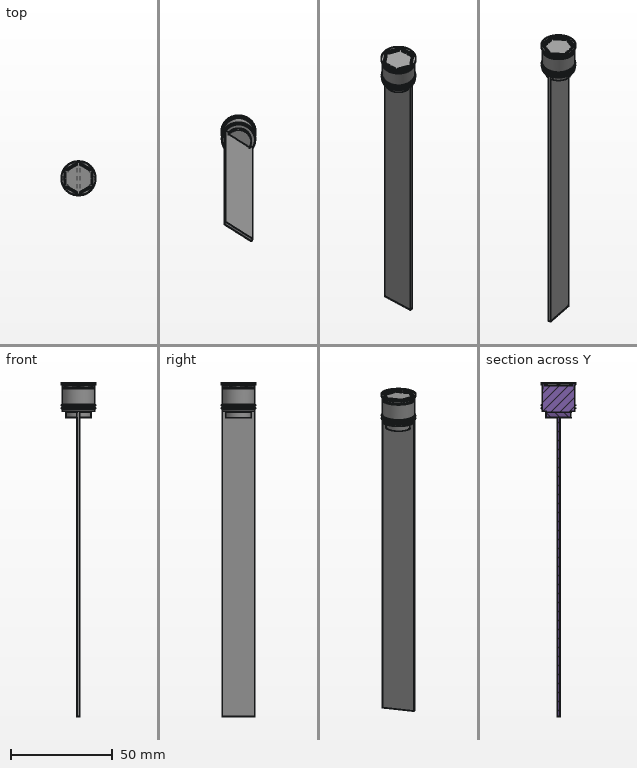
import cadquery as cq
import math

total_height = 164.0
cap_height = 14.0
cap_collar_height = 0.5
spigot_height = 2.6

flange_diameter = 17.0
cap_diameter = 16.0
spigot_diameter = 12.5

rim_thickness = 0.7
flange_cone_height = 0.5

groove_width = 0.7
groove_depth = 0.3
groove_drop = 2.5

bead_height = 1.0
bead_projection = 0.3
bead_drops = [11.0, 12.5]

recess_flats = 14.0
bar_flats = 12.3
recess_depth = 1.3
bar_drop = 0.5
bar_gap = 1.1

strip_width = 16.0
strip_thickness = 1.5

cap_bottom = total_height - cap_height
collar_bottom = cap_bottom - cap_collar_height
spigot_bottom = collar_bottom - spigot_height
recess_floor = total_height - recess_depth
bar_height = recess_depth - bar_drop


def hexagon(flats, bottom, height):
    """Hexagonal prism whose flats include the two that face along X."""
    corner_diameter = flats / math.cos(math.pi / 6)
    prism = cq.Workplane("XY").polygon(6, corner_diameter).extrude(height)
    return prism.rotate((0, 0, 0), (0, 0, 1), 30).translate((0, 0, bottom))


def disc(diameter, bottom, height):
    return cq.Workplane("XY", origin=(0, 0, bottom)).circle(diameter / 2).extrude(height)


def add_point(profile, drop, height, projection):
    """Continue the wall outline through a V that stands out, or cuts in where `projection` is negative."""
    wall = cap_diameter / 2
    middle = total_height - drop
    return (
        profile.lineTo(wall, middle - height / 2)
        .lineTo(wall + projection, middle)
        .lineTo(wall, middle + height / 2)
    )


def revolved_cap():
    """Outer shape of the cap: collar, wall with beads and groove, and flange."""
    wall = cap_diameter / 2
    rim = flange_diameter / 2
    collar = spigot_diameter / 2
    rim_bottom = total_height - rim_thickness
    profile = (
        cq.Workplane("XZ")
        .moveTo(0, collar_bottom)
        .lineTo(collar, collar_bottom)
        .lineTo(collar, cap_bottom)
        .lineTo(wall, cap_bottom)
    )
    for drop in reversed(bead_drops):
        profile = add_point(profile, drop, bead_height, bead_projection)
    profile = add_point(profile, groove_drop, groove_width, -groove_depth)
    profile = (
        profile.lineTo(wall, rim_bottom - flange_cone_height)
        .lineTo(rim, rim_bottom)
        .lineTo(rim, total_height)
        .lineTo(0, total_height)
        .close()
    )
    return profile.revolve(360, (0, 0, 0), (0, 1, 0))


def recess_bars():
    """Low hexagonal ring, divided at every corner and at the middle of both X sides."""
    bars = hexagon(recess_flats, recess_floor, bar_height).cut(hexagon(bar_flats, recess_floor, bar_height))
    for angle in (0, 30, 90, 150):
        gap = cq.Workplane("XY", origin=(0, 0, recess_floor)).box(
            flange_diameter, bar_gap, bar_height, centered=(True, True, False)
        )
        bars = bars.cut(gap.rotate((0, 0, 0), (0, 0, 1), angle))
    return bars


def make_cap():
    """Flanged round cap whose hexagonal recess keeps the bars standing on its floor."""
    recess = hexagon(recess_flats, recess_floor, recess_depth).cut(recess_bars())
    return revolved_cap().cut(recess)


def make_spigot():
    """Round spigot below the cap collar."""
    return disc(spigot_diameter, spigot_bottom, spigot_height)


def make_strip():
    """Flat strip that ends against the underside of the cap and is notched around the collar and spigot."""
    strip = cq.Workplane("XY").box(strip_thickness, strip_width, cap_bottom, centered=(True, True, False))
    notch_height = cap_bottom - spigot_bottom
    return strip.cut(disc(spigot_diameter, spigot_bottom, notch_height))


cap = make_cap()
spigot = make_spigot()
strip = make_strip()

result = cq.Compound.makeCompound([cap.val(), spigot.val(), strip.val()])